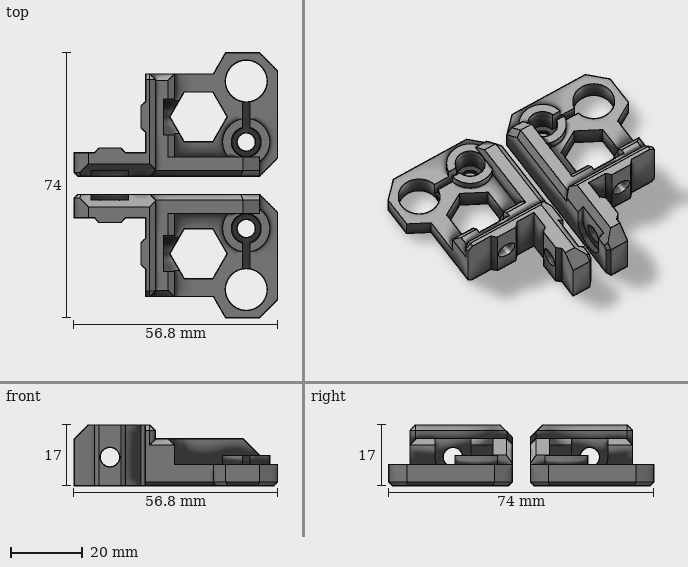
import cadquery as cq
import math

total_width = 74
gap = 5.0
mount_width = (total_width - gap) / 2
mount_length = 56.75
mount_height = 17

plate_thickness = 6.0
bottom_chamfer = 1.0
corner_cut = 5.0
ear_start_x = 38.85
ear_side_angle = 60

lug_thickness = 6.6
wall_x = 20
wall_length = 28.6
wall_top_thickness = 2.7
wall_edge_chamfer = 1.55
lug_inner_chamfer = 3.5
lug_end_slope = 4.0

step_height = 13.2
step_thickness = 8.0
step_chamfer = 1.8
rib_thickness = 5.3
rib_slope_x = 47.15
rib_end_x = mount_length - corner_cut
rib_chamfer = 1.6

key_base_width = 8.65
key_top_width = 6.15
key_depth = 1.3

fastener_z = 8.0
fastener_diameter = 5.4
lug_pocket_diameter = 10.4
wall_pocket_diameter = 10.1
head_seat_thickness = 4.95
wall_pocket_length = 5.9
lug_key_x = 10.0
wall_key_y = 16.6

hexagon_x = 34.7
hexagon_across_corners = 16.0
rod_x = 48.0
rod_y = 26.6
rod_diameter = 11.6
screw_y = 9.55
screw_diameter = 5.0

boss_height = 2.5
boss_diameter = 13.2
counterbore_diameter = 8.1
counterbore_floor_z = 1.25
flare_diameter = 8.35
flare_start_z = 6.65
slot_width = 2.0

ear_tip_x = ear_start_x + (mount_width - wall_length) / math.tan(math.radians(ear_side_angle))
boss_top_z = plate_thickness + boss_height


def block(x_size, y_size, bottom_z, top_z, x=0, y=0):
    """Box with its lowest corner at (x, y, bottom_z)."""
    return cq.Workplane("XY", origin=(x, y, bottom_z)).box(x_size, y_size, top_z - bottom_z, centered=False)


def vertical_cylinder(diameter, x, y, bottom_z, top_z):
    return cq.Workplane("XY", origin=(x, y, bottom_z)).circle(diameter / 2).extrude(top_z - bottom_z)


def base_plate():
    """Plate from the cross wall's outer face to the ear, chamfered underneath on all its other sides."""
    plate = (
        cq.Workplane("XY")
        .moveTo(wall_x, 0)
        .lineTo(mount_length - corner_cut, 0)
        .lineTo(mount_length, corner_cut)
        .lineTo(mount_length, mount_width - corner_cut)
        .lineTo(mount_length - corner_cut, mount_width)
        .lineTo(ear_tip_x, mount_width)
        .lineTo(ear_start_x, wall_length)
        .lineTo(wall_x, wall_length)
        .close()
        .extrude(plate_thickness)
    )
    return plate.faces("<Z").edges("not <X").chamfer(bottom_chamfer)


def lug():
    """Full-height lug with a sloped end; its inner face is chamfered along the bottom, end and slope."""
    solid_lug = (
        cq.Workplane("XZ")
        .moveTo(0, 0)
        .lineTo(wall_x, 0)
        .lineTo(wall_x, mount_height)
        .lineTo(lug_end_slope, mount_height)
        .lineTo(0, mount_height - lug_end_slope)
        .close()
        .extrude(-lug_thickness)
    )
    return solid_lug.faces("<Y").edges("not (>X or >Z)").chamfer(bottom_chamfer)


def tall_wall():
    """Narrow top part of the cross wall, with every edge on its step side chamfered."""
    wall = block(wall_top_thickness, wall_length, plate_thickness, mount_height, x=wall_x)
    return wall.edges("(>X and |Z) or (>X and >Z) or (>Y and >Z)").chamfer(wall_edge_chamfer)


def lower_step():
    """Wider lower part of the cross wall, reaching from the rib to the wall's outer end."""
    step_length = wall_length - rib_thickness
    step = block(step_thickness, step_length, plate_thickness, step_height, x=wall_x, y=rib_thickness)
    return step.edges("(>X and >Z) or (>Y and >Z)").chamfer(step_chamfer)


def inner_rib():
    """Rib along the inner side that slopes down at 45 degrees towards the boss."""
    slope_end_z = step_height - (rib_end_x - rib_slope_x)
    rib = (
        cq.Workplane("XZ")
        .moveTo(wall_x, plate_thickness)
        .lineTo(rib_end_x, plate_thickness)
        .lineTo(rib_end_x, slope_end_z)
        .lineTo(rib_slope_x, step_height)
        .lineTo(wall_x, step_height)
        .close()
        .extrude(-rib_thickness)
    )
    return rib.faces("<Y").edges(">Z or (not (|X or |Z))").chamfer(rib_chamfer)


def key_profile(workplane):
    """Trapezoid centred on the workplane origin that grows along its local Y."""
    return (
        workplane.moveTo(-key_base_width / 2, 0)
        .lineTo(key_base_width / 2, 0)
        .lineTo(key_top_width / 2, key_depth)
        .lineTo(-key_top_width / 2, key_depth)
        .close()
        .extrude(mount_height)
    )


def keys():
    lug_key = key_profile(cq.Workplane("XY", origin=(lug_key_x, lug_thickness, 0)))
    wall_plane = cq.Plane(origin=(wall_x, wall_key_y, 0), xDir=(0, 1, 0), normal=(0, 0, 1))
    return lug_key.union(key_profile(cq.Workplane(wall_plane)))


def inner_top_wedge():
    """Wedge cut from the inner top edge of the lug and the tall wall."""
    return (
        cq.Workplane("YZ")
        .moveTo(0, mount_height)
        .lineTo(lug_inner_chamfer, mount_height)
        .lineTo(0, mount_height - lug_inner_chamfer)
        .close()
        .extrude(wall_x + wall_top_thickness)
    )


def fastener_cut(plane, pocket_diameter, pocket_length):
    """Through hole with a head pocket open to the top; local Z runs from the outer face inwards."""
    key_face = cq.Workplane(plane).workplane(offset=-key_depth)
    hole = key_face.circle(fastener_diameter / 2).extrude(key_depth + head_seat_thickness)
    seat = cq.Workplane(plane).workplane(offset=head_seat_thickness)
    pocket = seat.circle(pocket_diameter / 2).extrude(pocket_length)
    opening_height = mount_height - fastener_z
    opening = seat.center(0, opening_height / 2).rect(pocket_diameter, opening_height).extrude(pocket_length)
    return hole.union(pocket).union(opening)


def fastener_cuts():
    lug_plane = cq.Plane(origin=(lug_key_x, lug_thickness, fastener_z), xDir=(1, 0, 0), normal=(0, -1, 0))
    wall_plane = cq.Plane(origin=(wall_x, wall_key_y, fastener_z), xDir=(0, 1, 0), normal=(1, 0, 0))
    lug_cut = fastener_cut(lug_plane, lug_pocket_diameter, lug_thickness - head_seat_thickness)
    wall_cut = fastener_cut(wall_plane, wall_pocket_diameter, wall_pocket_length)
    return lug_cut.union(wall_cut)


def plate_openings():
    hexagon = (
        cq.Workplane("XY", origin=(hexagon_x, wall_key_y, 0))
        .polygon(6, hexagon_across_corners)
        .extrude(plate_thickness)
    )
    rod_hole = vertical_cylinder(rod_diameter, rod_x, rod_y, 0, plate_thickness)
    screw_hole = vertical_cylinder(screw_diameter, rod_x, screw_y, 0, plate_thickness)
    counterbore = vertical_cylinder(counterbore_diameter, rod_x, screw_y, counterbore_floor_z, boss_top_z)
    flare = (
        cq.Workplane("XY", origin=(rod_x, screw_y, flare_start_z))
        .circle(counterbore_diameter / 2)
        .workplane(offset=boss_top_z - flare_start_z)
        .circle(flare_diameter / 2)
        .loft()
    )
    slot = block(
        slot_width,
        rod_y - screw_y,
        counterbore_floor_z,
        boss_top_z,
        x=rod_x - slot_width / 2,
        y=screw_y,
    )
    return hexagon.union(rod_hole).union(screw_hole).union(counterbore).union(flare).union(slot)


def mount():
    boss = vertical_cylinder(boss_diameter, rod_x, screw_y, plate_thickness, boss_top_z)
    body = base_plate().union(lug()).union(tall_wall()).union(lower_step()).union(keys())
    body = body.cut(inner_top_wedge())
    body = body.union(inner_rib()).union(boss)
    return body.cut(fastener_cuts()).cut(plate_openings())


rear_mount = mount().translate((0, gap / 2, 0))
front_mount = rear_mount.mirror("XZ")

result = cq.Compound.makeCompound([rear_mount.val(), front_mount.val()])